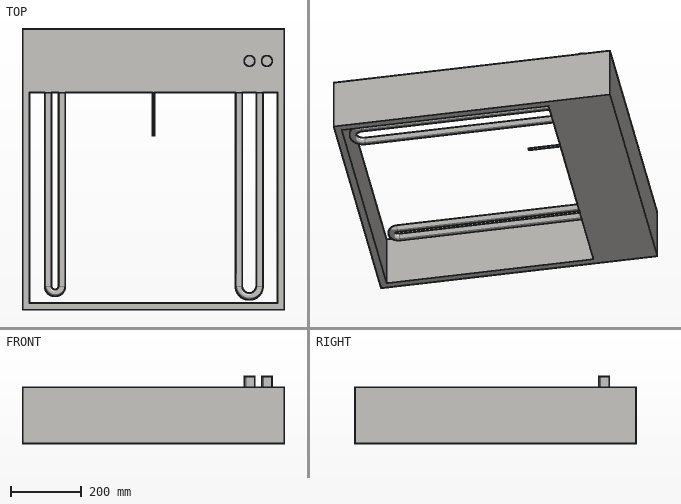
import cadquery as cq

width = 740.0
depth = 795.0
body_height = 160.0
total_height = 190.0
wall = 20.0
rear_bar_depth = 180.5

knob_diameter = 30.0
knob_spacing = 49.0
right_knob_from_side = 49.0
knob_from_rear = 91.0

tube_diameter = 20.0
bend_start_from_front = 67.5
tube_embed = 8.0
left_hairpin_x = 91.5
left_leg_spacing = 39.0
left_hairpin_z = 119.0
right_hairpin_x = 641.0
right_leg_spacing = 59.0
right_hairpin_z = 40.0

probe_diameter = 6.0
probe_length = 122.0
probe_z = 139.0

rear_bar_front_y = depth - rear_bar_depth


def make_housing():
    body = cq.Workplane("XY").box(width, depth, body_height, centered=False)
    opening = cq.Workplane("XY").box(
        width - 2 * wall, rear_bar_front_y - wall, body_height, centered=False
    )
    return body.cut(opening.translate((wall, wall, 0)))


def make_knobs():
    right_x = width - right_knob_from_side
    knob_y = depth - knob_from_rear
    return (
        cq.Workplane("XY", origin=(0, 0, body_height))
        .pushPoints([(right_x - knob_spacing, knob_y), (right_x, knob_y)])
        .circle(knob_diameter / 2)
        .extrude(total_height - body_height)
    )


def make_hairpin(center_x, leg_spacing, z):
    """U-shaped tube: two straight legs joined by a half-circle bend at the front."""
    bend_radius = leg_spacing / 2
    left_x = center_x - bend_radius
    right_x = center_x + bend_radius
    leg_end_y = rear_bar_front_y + tube_embed
    path = (
        cq.Workplane("XY", origin=(0, 0, z))
        .moveTo(left_x, leg_end_y)
        .lineTo(left_x, bend_start_from_front)
        .threePointArc(
            (center_x, bend_start_from_front - bend_radius),
            (right_x, bend_start_from_front),
        )
        .lineTo(right_x, leg_end_y)
    )
    profile = cq.Workplane("XZ", origin=(left_x, leg_end_y, z)).circle(tube_diameter / 2)
    return profile.sweep(path)


def make_probe():
    return (
        cq.Workplane("XZ", origin=(width / 2, rear_bar_front_y + tube_embed, probe_z))
        .circle(probe_diameter / 2)
        .extrude(probe_length + tube_embed)
    )


result = (
    make_housing()
    .union(make_knobs())
    .union(make_hairpin(left_hairpin_x, left_leg_spacing, left_hairpin_z))
    .union(make_hairpin(right_hairpin_x, right_leg_spacing, right_hairpin_z))
    .union(make_probe())
)